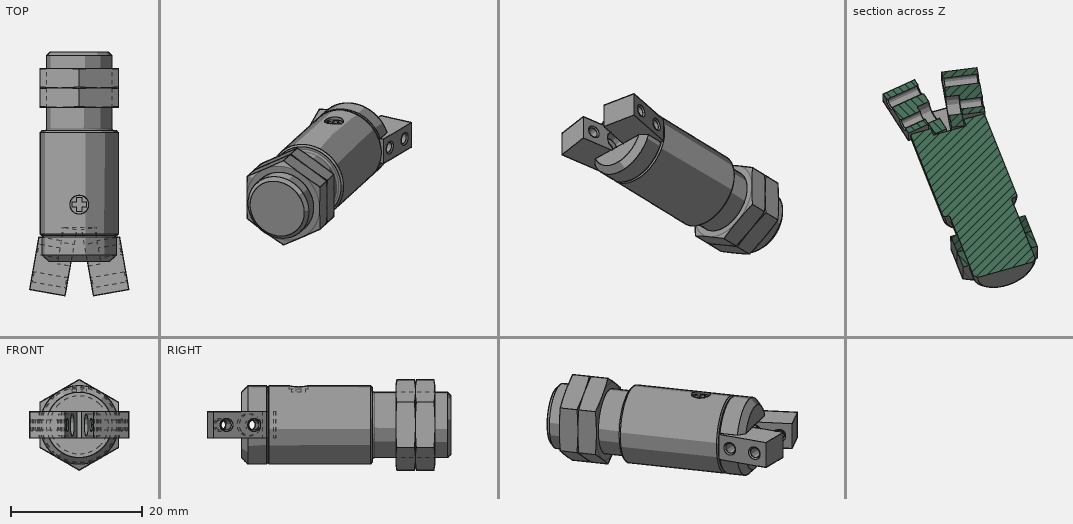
import cadquery as cq
import math


body_diameter = 12.0
stem_diameter = 10.0
housing_length = 32.0
shoulder_y = 20.0
shoulder_chamfer = 0.3
stem_fillet = 0.3
stem_end_chamfer = 0.55
head_chamfer = 1.0
groove_y = 4.02
groove_depth = 0.22

adjuster_y = 8.7
adjuster_diameter = 2.85
adjuster_depth = 0.5
cross_span = 2.15
cross_arm_width = 0.8
cross_depth = 0.5

nut_sides = 6
nut_across_flats = body_diameter
nut_thickness = 2.98
nut_rear_y = 29.5
nut_count = 2
nut_corner_chamfer = 0.15

jaw_angle = 10.0
jaw_width = 5.5
jaw_thickness = 4.02
jaw_overhang = 5.2
jaw_tip_half_gap = 2.15
jaw_outer_length = 8.2
jaw_inner_length = 10.25
jaw_tongue_width = 2.0
screw_hole_diameter = 1.55
screw_hole_countersink = 2.0
tip_hole_distance = 2.0
rear_hole_distance = 6.3
recess_diameter = 3.35
recess_depth = 2.0

pocket_depth = 5.25
pocket_width = 5.2


def make_housing():
    """Turned body with a narrower stem, slotted at the front for the jaws."""
    body_radius = body_diameter / 2
    stem_radius = stem_diameter / 2
    turned = (
        cq.Workplane("XY")
        .lineTo(body_radius - head_chamfer, 0)
        .lineTo(body_radius, head_chamfer)
        .lineTo(body_radius, groove_y - groove_depth)
        .lineTo(body_radius - groove_depth, groove_y)
        .lineTo(body_radius, groove_y + groove_depth)
        .lineTo(body_radius, shoulder_y - shoulder_chamfer)
        .lineTo(body_radius - shoulder_chamfer, shoulder_y)
        .lineTo(stem_radius + stem_fillet, shoulder_y)
        .radiusArc((stem_radius, shoulder_y + stem_fillet), stem_fillet)
        .lineTo(stem_radius, housing_length - stem_end_chamfer)
        .lineTo(stem_radius - stem_end_chamfer, housing_length)
        .lineTo(0, housing_length)
        .close()
        .revolve(360, (0, 0, 0), (0, 1, 0))
    )
    slot = cq.Workplane("XY").box(
        body_diameter, groove_y, jaw_thickness, centered=(True, False, True)
    )
    pocket = cq.Workplane("XY").box(
        pocket_width, pocket_depth, jaw_thickness, centered=(True, False, True)
    )
    return turned.cut(slot).cut(pocket).cut(make_adjuster_recess())


def make_adjuster_recess():
    """Round flat-floored recess with a cross sunk into its floor."""
    floor_z = body_diameter / 2 - adjuster_depth
    floor = cq.Workplane("XY", origin=(0, adjuster_y, floor_z))
    recess = floor.circle(adjuster_diameter / 2).extrude(2 * adjuster_depth)
    for length, width in ((cross_span, cross_arm_width), (cross_arm_width, cross_span)):
        recess = recess.union(floor.rect(length, width).extrude(-cross_depth))
    return recess


def make_nut(rear_y):
    """Hexagonal nut with a corner up, its corners bevelled on both faces."""
    flat_radius = nut_across_flats / 2
    half_side_angle = 180 / nut_sides
    corner_radius = flat_radius / math.cos(math.radians(half_side_angle))
    blank = (
        cq.Workplane("XZ", origin=(0, rear_y, 0))
        .polygon(nut_sides, 2 * corner_radius)
        .extrude(nut_thickness)
        .rotate((0, 0, 0), (0, 1, 0), half_side_angle)
    )
    front_y = rear_y - nut_thickness
    bevelled_disc = (
        cq.Workplane("XY")
        .moveTo(stem_diameter / 2, front_y)
        .lineTo(flat_radius, front_y)
        .lineTo(corner_radius, front_y + nut_corner_chamfer)
        .lineTo(corner_radius, rear_y - nut_corner_chamfer)
        .lineTo(flat_radius, rear_y)
        .lineTo(stem_diameter / 2, rear_y)
        .close()
        .revolve(360, (0, 0, 0), (0, 1, 0))
    )
    return blank.intersect(bevelled_disc)


def make_hole(y, length, diameter):
    """Cylinder along X, running outward from the jaw's inner face."""
    return cq.Solid.makeCylinder(diameter / 2, length, cq.Vector(0, y, 0), cq.Vector(1, 0, 0))


def make_countersink(x, y, direction):
    """45 degree cone that opens at x and narrows along +X (1) or -X (-1)."""
    depth = (screw_hole_countersink - screw_hole_diameter) / 2
    return cq.Solid.makeCone(
        screw_hole_countersink / 2,
        screw_hole_diameter / 2,
        depth,
        cq.Vector(x, y, 0),
        cq.Vector(direction, 0, 0),
    )


def make_jaw():
    """Jaw on the +X side, shaped with its inner tip corner at the origin and then swung open."""
    jaw = (
        cq.Workplane("XY", origin=(0, 0, -jaw_thickness / 2))
        .lineTo(jaw_width, 0)
        .lineTo(jaw_width, jaw_outer_length)
        .lineTo(jaw_tongue_width, jaw_outer_length)
        .lineTo(jaw_tongue_width, jaw_inner_length)
        .lineTo(0, jaw_inner_length)
        .close()
        .extrude(jaw_thickness)
    )
    for y in (tip_hole_distance, rear_hole_distance):
        jaw = jaw.cut(make_hole(y, jaw_width, screw_hole_diameter))
        jaw = jaw.cut(make_countersink(jaw_width, y, -1))
    jaw = jaw.cut(make_countersink(0, tip_hole_distance, 1))
    jaw = jaw.cut(make_hole(rear_hole_distance, recess_depth, recess_diameter))
    opened = jaw.rotate((0, 0, 0), (0, 0, 1), jaw_angle)
    return opened.translate((jaw_tip_half_gap, -jaw_overhang, 0))


housing = make_housing()
nuts = [make_nut(nut_rear_y - i * nut_thickness) for i in range(nut_count)]
right_jaw = make_jaw()
left_jaw = right_jaw.mirror("YZ")

result = cq.Compound.makeCompound(
    [housing.val(), *[nut.val() for nut in nuts], right_jaw.val(), left_jaw.val()]
)